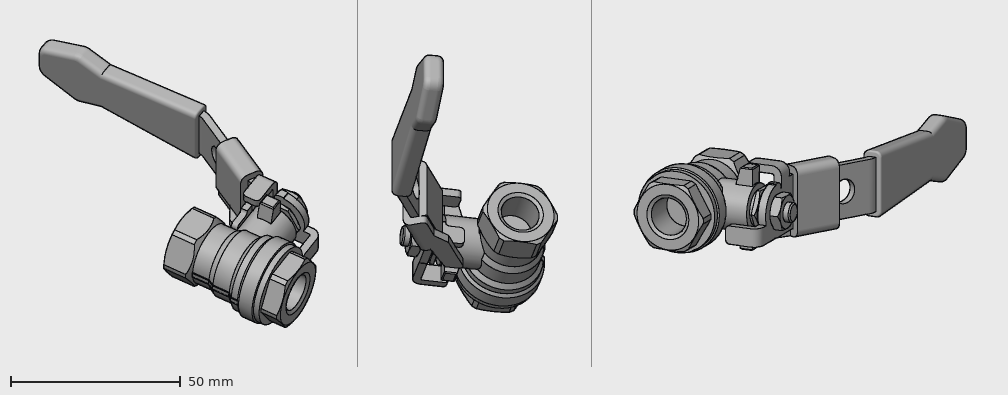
import cadquery as cq
import math


pipe_half_length = 20.0
hex_across_flats = 20.3
hex_corner_radius = 11.3
end_face_radius = 10.0
end_chamfer = 0.6
waist_radius = 9.6
belly_radius = 10.7
shoulder_radius = 12.1
flange_radius = 13.0
collar_radius = 25.0 / 2
hex_left_end = -11.9
waist_start = -10.5
waist_end = -4.9
belly_start = -2.8
belly_end = 2.8
shoulder_start = 4.3
shoulder_end = 6.4
flange_start = 7.3
flange_end = 12.0
collar_start = 12.2
hex_right_start = 14.1

rib_width = 1.8
rib_height = 0.3

bore_diameter = 11.4
bore_depth = 11.3
port_chamfer_width = 1.1
port_chamfer_depth = 0.7

neck_diameter = 15.0
neck_top = 19.8
seal_diameter = 10.8
gland_bottom = 21.2
gland_top = 22.7
gland_across_flats = 13.0
stem_diameter = 7.0
thread_diameter = 6.0
thread_top = 31.6
thread_chamfer = 0.5
nut_height = 3.3
nut_across_flats = 10.0
nut_bevel = 0.4

stop_width = 4.7
stop_reach = 12.6
stop_top = 19.2
stop_tip_bottom = 15.4
stop_root_bottom = 13.9
stop_chamfer = 0.3

sheet = 2.5
lever_half_width = 8.4
plate_bottom = 23.7
plate_top = plate_bottom + sheet
plate_middle = plate_bottom + sheet / 2
plate_radius = 8.0
plate_shoulder_x = 0.8
bend_x = -10.6
elbow_x = -35.9
elbow_inner_radius = 3.4
elbow_outer_radius = elbow_inner_radius + sheet
arm_angle = 30.0
grip_angle = 2.0
arm_hole_diameter = 7.5
arm_hole_distance = 19.0

tab_width = 5.6
tab_bottom = 15.2
inner_bend_radius = 0.6
outer_bend_radius = inner_bend_radius + sheet
tab_corner_radius = 1.4
side_tab_left = -8.5
side_tab_reach = 12.6
cross_tab_edge = 8.2
arm_tab_outer_x = -12.2
arm_tab_thickness = 2.1
arm_tab_flare_top = 21.0
end_tab_reach = 12.5
relief_width = 0.3
relief_bottom = 6.2
relief_corner_radius = 1.8

sleeve_start = 0.6
sleeve_length = 15.0
sleeve_half_height = 1.5 * sheet
sleeve_half_width = lever_half_width + sheet
sleeve_bend_radius = sheet
sleeve_lip = 3.4
sleeve_lip_corner_radius = 1.4
hook_tip_x = -2.7
hook_tip_top = 19.2
hook_knee = (-16.1, 20.9)
hook_root_distance = 7.7
hook_tip_radius = 1.1

grip_thickness = 6.0
grip_round = 1.8
grip_start = 1.1
grip_start_half_width = 10.2
grip_waist_distance = 34.5
grip_waist_half_width = 7.6
grip_bulge_distance = 43.1
grip_bulge_half_width = 10.3
grip_tip_distance = 57.0
grip_tip_half_width = 5.3
grip_tang_length = 16.9
grip_tip_radius = 3.5
grip_bulge_radius = 3.5
grip_end_radius = 0.6

arm_tangent = math.tan(math.radians(arm_angle))
elbow_y = plate_middle + (bend_x - elbow_x) * arm_tangent


def along_stem(y):
    """Workplane across the stem at height y, facing +Y, with local x = X and local y = -Z."""
    return cq.Workplane("XZ", origin=(0, y, 0)).transformed(rotate=(180, 0, 0))


def block(x0, x1, y0, y1, z0, z1):
    return cq.Workplane("XY").box(x1 - x0, y1 - y0, z1 - z0, centered=False).translate((x0, y0, z0))


def turned_about_x(points):
    """Solid turned about the pipe axis from (x, radius) points."""
    outline = [(points[0][0], 0), *points, (points[-1][0], 0)]
    return cq.Workplane("XY").polyline(outline).close().revolve(360, (0, 0, 0), (1, 0, 0))


def hex_bar(x0, x1):
    """Hexagon bar along X with flats on +Z and -Z."""
    corner_diameter = hex_across_flats / math.cos(math.pi / 6)
    return cq.Workplane("YZ", origin=(x0, 0, 0)).polygon(6, corner_diameter).extrude(x1 - x0)


def hex_envelope(inner_x, outer_x):
    """Turned limit that trims the corners of a hexagon end and chamfers its face."""
    inward = math.copysign(end_chamfer, inner_x - outer_x)
    return turned_about_x([
        (inner_x, hex_corner_radius),
        (outer_x + inward, hex_corner_radius),
        (outer_x, end_face_radius),
    ])


def middle_profile(extra):
    """(x, radius) points of the round middle, raised by extra, from the waist to the flange."""
    return [
        (waist_start, waist_radius + extra),
        (waist_end, waist_radius + extra),
        (belly_start, belly_radius + extra),
        (belly_end, belly_radius + extra),
        (shoulder_start, shoulder_radius + extra),
        (shoulder_end, shoulder_radius + extra),
    ]


def pipe_body():
    left_hex = hex_bar(-pipe_half_length, waist_start).intersect(
        hex_envelope(hex_left_end, -pipe_half_length).union(
            turned_about_x([(hex_left_end, hex_corner_radius), (waist_start, waist_radius)])
        )
    )
    right_hex = hex_bar(hex_right_start, pipe_half_length).intersect(
        hex_envelope(hex_right_start, pipe_half_length)
    )
    middle = turned_about_x([
        *middle_profile(0),
        (flange_start, flange_radius),
        (flange_end, flange_radius),
        (collar_start, collar_radius),
        (hex_right_start, collar_radius),
    ])
    return middle.union(left_hex).union(right_hex)


def parting_ribs():
    raised = turned_about_x([*middle_profile(rib_height), (flange_start, shoulder_radius + rib_height)])
    strip = block(waist_start, flange_start, -flange_radius, flange_radius, -rib_width / 2, rib_width / 2)
    return raised.intersect(strip)


def port(side):
    """Blind chamfered bore entering from the pipe end on the given side (-1 or 1)."""
    face = side * pipe_half_length
    radius = bore_diameter / 2
    return turned_about_x([
        (face, radius + port_chamfer_width),
        (face - side * port_chamfer_depth, radius),
        (face - side * bore_depth, radius),
    ])


def hex_nut(bottom, height, across_flats, lower_bevel):
    """Hexagon about the stem with corners on X, bevelled above and, where lower_bevel is not 0, below."""
    flat_radius = across_flats / 2
    corner_radius = flat_radius / math.cos(math.pi / 6)
    top = bottom + height
    envelope = (
        cq.Workplane("XY")
        .polyline([
            (0, bottom),
            (flat_radius, bottom),
            (corner_radius, bottom + lower_bevel),
            (corner_radius, top - nut_bevel),
            (flat_radius, top),
            (0, top),
        ])
        .close()
        .revolve(360, (0, 0, 0), (0, 1, 0))
    )
    return along_stem(bottom).polygon(6, 2 * corner_radius).extrude(height).intersect(envelope)


def stem_column():
    neck = along_stem(0).circle(neck_diameter / 2).extrude(neck_top)
    seal = along_stem(neck_top).circle(seal_diameter / 2).extrude(gland_bottom - neck_top)
    gland = hex_nut(gland_bottom, gland_top - gland_bottom, gland_across_flats, lower_bevel=0)
    stem = along_stem(gland_top).circle(stem_diameter / 2).extrude(plate_bottom - gland_top)
    thread = along_stem(plate_bottom).circle(thread_diameter / 2).extrude(thread_top - plate_bottom)
    thread = thread.faces(">Y").chamfer(thread_chamfer)
    nut = hex_nut(plate_top, nut_height, nut_across_flats, lower_bevel=nut_bevel)
    return neck.union(seal).union(gland).union(stem).union(thread).union(nut)


def stop_post():
    """Post on the +Z side of the neck, sloping on its lower face."""
    root_z = neck_diameter / 2
    post = (
        cq.Workplane("YZ")
        .polyline([
            (stop_top, 0),
            (stop_top, stop_reach),
            (stop_tip_bottom, stop_reach),
            (stop_root_bottom, root_z),
            (stop_root_bottom, 0),
        ])
        .close()
        .extrude(stop_width / 2, both=True)
    )
    return post.faces(">Z").chamfer(stop_chamfer)


def make_valve():
    post = stop_post()
    valve = pipe_body().union(parting_ribs()).union(stem_column())
    valve = valve.union(post).union(post.mirror("XY"))
    return valve.cut(port(-1)).cut(port(1))


def edge_near(x, y, z):
    """Selector of the one edge whose middle is nearest to a point."""
    return cq.selectors.NearestToPointSelector((x, y, z))


def lever_plate():
    """Flat plate around the stem, with a relief slot beside the side tab."""
    disc = along_stem(plate_bottom).circle(plate_radius).extrude(sheet)
    strip = block(
        side_tab_left, plate_shoulder_x, plate_bottom, plate_top, -lever_half_width, lever_half_width
    )
    slot_left = side_tab_left + tab_width
    slot_right = slot_left + relief_width
    slot = block(slot_left, slot_right, plate_bottom, plate_top, relief_bottom, lever_half_width)
    plate = disc.union(strip).cut(slot)
    return plate.edges(edge_near(slot_right, plate_middle, lever_half_width)).fillet(relief_corner_radius)


def mitre_corner(x, y, angle_in, angle_out, side):
    """Corner of the sheet's upper (side 1) or lower (side -1) face where two runs meet."""
    middle = math.radians((angle_in + angle_out) / 2)
    half_turn = math.radians((angle_in - angle_out) / 2)
    reach = side * sheet / 2 / math.cos(half_turn)
    return (x + reach * math.sin(middle), y + reach * math.cos(middle))


def lever_arm():
    """Sheet from the plate up the arm and into the grip, with its two bends."""
    tang = math.radians(grip_angle)
    tang_end = (elbow_x - grip_tang_length * math.cos(tang), elbow_y + grip_tang_length * math.sin(tang))
    bend_top = mitre_corner(bend_x, plate_middle, 0, arm_angle, 1)
    bend_under = mitre_corner(bend_x, plate_middle, 0, arm_angle, -1)
    elbow_top = mitre_corner(elbow_x, elbow_y, arm_angle, grip_angle, 1)
    elbow_under = mitre_corner(elbow_x, elbow_y, arm_angle, grip_angle, -1)
    arm = (
        cq.Workplane("XY")
        .polyline([
            (side_tab_left, plate_top),
            bend_top,
            elbow_top,
            mitre_corner(*tang_end, grip_angle, grip_angle, 1),
            mitre_corner(*tang_end, grip_angle, grip_angle, -1),
            elbow_under,
            bend_under,
            (side_tab_left, plate_bottom),
        ])
        .close()
        .extrude(lever_half_width, both=True)
    )
    for corner, radius in (
        (bend_top, inner_bend_radius),
        (bend_under, outer_bend_radius),
        (elbow_top, elbow_outer_radius),
        (elbow_under, elbow_inner_radius),
    ):
        arm = arm.edges("|Z").edges(edge_near(*corner, 0)).fillet(radius)
    return arm


def arm_point(along, up):
    """(x, y) of a point given along the arm from the bend and up from the middle of its sheet."""
    a = math.radians(arm_angle)
    return (
        bend_x - along * math.cos(a) + up * math.sin(a),
        plate_middle + along * math.sin(a) + up * math.cos(a),
    )


def arm_hole():
    """Round cutter through the sheet of the arm only."""
    a = math.radians(arm_angle)
    x, y = arm_point(arm_hole_distance, -sheet / 2)
    face = cq.Plane(origin=(x, y, 0), xDir=(0, 0, 1), normal=(math.sin(a), math.cos(a), 0))
    return cq.Workplane(face).circle(arm_hole_diameter / 2).extrude(sheet)


def side_tab():
    """Tab over the +Z edge of the plate, bent down."""
    right = side_tab_left + tab_width
    tab = block(side_tab_left, right, tab_bottom, plate_top, 0, side_tab_reach)
    tab = tab.edges("|X and >Y and >Z").fillet(outer_bend_radius)
    tab = tab.edges("|Z and <Y").fillet(tab_corner_radius)
    inner_z = side_tab_reach - sheet
    tab = tab.cut(block(side_tab_left, right, tab_bottom, plate_bottom, 0, inner_z))
    inner_edge = edge_near(right - tab_width / 2, plate_bottom, inner_z)
    return tab.edges("|X").edges(inner_edge).fillet(inner_bend_radius)


def end_tab():
    """Tab over the +X edge of the plate, bent down."""
    low_z = -cross_tab_edge
    high_z = low_z + tab_width
    tab = block(0, end_tab_reach, tab_bottom, plate_top, low_z, high_z)
    tab = tab.edges("|Z and >Y and >X").fillet(outer_bend_radius)
    tab = tab.edges("|X and <Y").fillet(tab_corner_radius)
    inner_x = end_tab_reach - sheet
    tab = tab.cut(block(0, inner_x, tab_bottom, plate_bottom, low_z, high_z))
    inner_edge = edge_near(inner_x, plate_bottom, low_z + tab_width / 2)
    return tab.edges("|Z").edges(inner_edge).fillet(inner_bend_radius)


def arm_tab():
    """Tab under the bend, square to the pipe, with a flared root."""
    low_z = -cross_tab_edge
    high_z = low_z + tab_width
    flare = tab_corner_radius
    tab = (
        cq.Workplane("YZ", origin=(arm_tab_outer_x, 0, 0))
        .moveTo(plate_middle, low_z)
        .lineTo(tab_bottom, low_z)
        .lineTo(tab_bottom, high_z)
        .lineTo(arm_tab_flare_top - flare, high_z)
        .tangentArcPoint((arm_tab_flare_top, high_z + flare), relative=False)
        .lineTo(plate_middle, high_z + flare)
        .close()
        .extrude(arm_tab_thickness)
    )
    return tab.edges("|X and <Y").fillet(tab_corner_radius)


def sleeve_wrap():
    """Sleeve folded around the arm; the front wall stops at a step beside the -Z flange."""
    a = math.radians(arm_angle)
    x, y = arm_point(sleeve_start, 0)
    end_x, end_y = arm_point(sleeve_start + sleeve_length, -sleeve_lip)
    section = cq.Plane(origin=(x, y, 0), xDir=(0, 0, 1), normal=(-math.cos(a), math.sin(a), 0))
    high = sleeve_half_height
    wide = sleeve_half_width
    bend = sleeve_bend_radius
    wrap = (
        cq.Workplane(section)
        .moveTo(-lever_half_width, -high)
        .lineTo(wide - bend, -high)
        .tangentArcPoint((wide, bend - high), relative=False)
        .lineTo(wide, high - bend)
        .tangentArcPoint((wide - bend, high), relative=False)
        .lineTo(bend - wide, high)
        .tangentArcPoint((-wide, high - bend), relative=False)
        .lineTo(-wide, -sleeve_lip)
        .lineTo(-lever_half_width, -sleeve_lip)
        .close()
        .extrude(sleeve_length)
    )
    flange_z = sheet / 2 - sleeve_half_width
    return wrap.edges("|Z").edges(edge_near(end_x, end_y, flange_z)).fillet(sleeve_lip_corner_radius)


def sleeve_hook():
    """Hooked part of the -Z flange that reaches down to the stop post, its lower edge along the arm."""
    knee_x, knee_y = hook_knee
    tip_bottom = knee_y - (hook_tip_x - knee_x) * arm_tangent
    hook = (
        cq.Workplane("XY", origin=(0, 0, -sleeve_half_width))
        .polyline([
            arm_point(hook_root_distance, -sleeve_lip),
            hook_knee,
            (hook_tip_x, tip_bottom),
            (hook_tip_x, hook_tip_top),
            arm_point(sleeve_start, 0),
            arm_point(sleeve_length / 2, 0),
        ])
        .close()
        .extrude(sheet)
    )
    return hook.edges("|Z").edges("<Y").fillet(hook_tip_radius)


def grip():
    """Moulded grip: a waisted outline with its long edges and tip rounded."""
    a = math.radians(grip_angle)
    upward = (math.sin(a), math.cos(a), 0)
    outward = (-math.cos(a), math.sin(a), 0)
    half_outline = [
        (grip_start, grip_start_half_width),
        (grip_waist_distance, grip_waist_half_width),
        (grip_bulge_distance, grip_bulge_half_width),
        (grip_tip_distance, grip_tip_half_width),
    ]
    other_half = [(along, -across) for along, across in reversed(half_outline)]
    body = (
        cq.Workplane(cq.Plane(origin=(elbow_x, elbow_y, 0), xDir=outward, normal=upward))
        .polyline(half_outline + other_half)
        .close()
        .extrude(grip_thickness / 2, both=True)
    )
    across_sheet = cq.selectors.ParallelDirSelector(cq.Vector(*upward))
    body = body.edges(across_sheet).edges("<X").fillet(grip_tip_radius)
    body = body.edges(across_sheet).edges(">Z or <Z").fillet(grip_bulge_radius)
    for face in (">Y", "<Y"):
        body = body.faces(face).edges("not >X").fillet(grip_round)
    return body.faces(">X").edges().fillet(grip_end_radius)


def make_lever():
    lever = lever_plate().union(lever_arm())
    for part in (side_tab(), end_tab(), arm_tab(), sleeve_wrap(), sleeve_hook(), grip()):
        lever = lever.union(part)
    stem_hole = along_stem(plate_bottom).circle(thread_diameter / 2).extrude(sheet)
    return lever.cut(arm_hole()).cut(stem_hole)


valve = make_valve()
lever = make_lever()
result = cq.Compound.makeCompound([valve.solids().val(), lever.solids().val()])